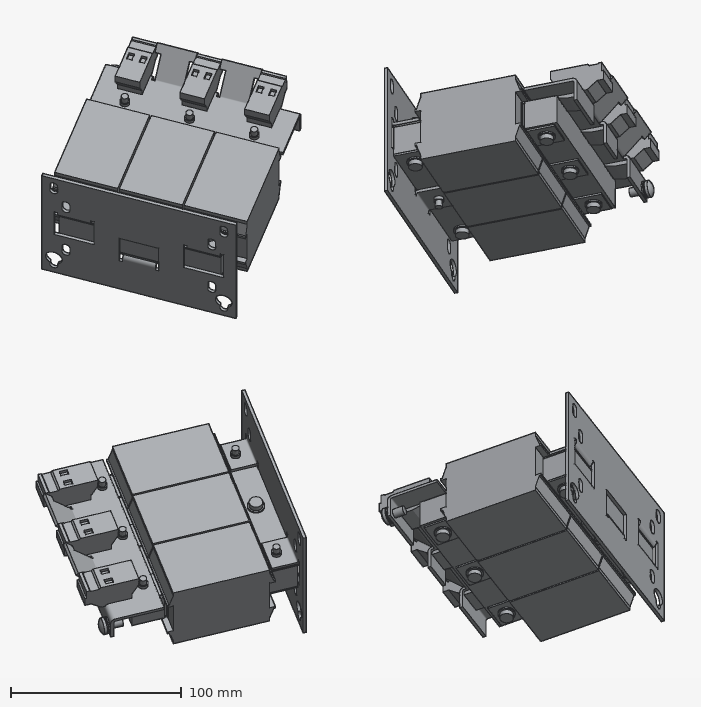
import cadquery as cq
import math


SHEET = 2.0
PLATE_WIDTH = 120.0
PLATE_HEIGHT = 85.0
SLOT_WIDTH = 4.8
SLOT_LENGTH = 9.5
MOUNT_X = 52.5
MOUNT_SLOT_Z = 33.8
KEYHOLE_Z = -29.6
KEYHOLE_DIAMETER = 10.2
KEYHOLE_TAIL_Z = -36.0
INNER_SLOT_X = 45.0
INNER_SLOT_Z = 19.4

PITCH = 40.0
COIL_XS = (-PITCH, 0.0, PITCH)
CORE_Z = -2.3
CORE_WIDTH = 100.0
CORE_HALF = 9.3
STACK_HALF = 10.5
LEG_WIDTH = 20.0
COIL_GAP = 1.0
COIL_WIDTH = PITCH - COIL_GAP
COIL_HALF = 22.8
COIL_FRONT = 22.4
COIL_REAR = 81.6
CORE_FRONT = SHEET + 0.2
CORE_REAR = 104.0
YOKE_FRONT = 83.9
STRIP_INSET = 0.2

FLARE_ROOT_HALF = 20.2
FLARE_TIP_HALF = 12.5
FLARE_INNER_HALF = 11.0
FLARE_REACH = 2.6
FLANGE_REACH = 3.6

SPACER_FRONT = 82.2
SPACER_INSET = 0.3
TONGUE_WIDTH = 17.1
TONGUE_REAR = 102.0

BEND_INNER = 1.0
BEND_OUTER = BEND_INNER + SHEET
TAB_WIDTH = 20.4
TAB_END = 18.0
WINDOW_WIDTH = 24.6
WINDOW_FAR = 5.8
WINDOW_NEAR = STACK_HALF + 4.2

FRONT_BOLT_Y = 12.1
REAR_BOLT_Y = 94.0
THREAD_DIAMETER = 4.2
THREAD_END = STACK_HALF + 8.2
NUT_DIAMETER = 5.8
NUT_HEIGHT = 2.1
HEAD_DIAMETER = 8.1
WASHER_DIAMETER = 10.2
WASHER_THICKNESS = 1.0
HEAD_END = STACK_HALF + 4.1

BRACKET_FRONT = 87.3
BRACKET_REAR = 120.2
BRACKET_BOTTOM = CORE_Z + STACK_HALF
BRACKET_TOP = BRACKET_BOTTOM + SHEET
BRACKET_LEG_END = -5.1
NOTCH_WIDTH = 21.6
NOTCH_FRONT = 116.0
WING_NECK_WIDTH = 17.6
WING_HEAD_WIDTH = 25.1
WING_HEAD_LENGTH = 6.0
WING_ROOT_LENGTH = 5.0
PART_REAR = 132.85

TERMINAL_WIDTH = 15.2
TERMINAL_FRONT = 99.0
TERMINAL_REAR = 132.2
TERMINAL_TOP = 26.2
TERMINAL_SHELF = TERMINAL_TOP - 1.1
TERMINAL_LIP = TERMINAL_TOP - 0.5
TERMINAL_SEAT = 8.7
FOOT_FRONT = 103.5
FOOT_BOTTOM = 5.5
POCKET_OFFSET = 3.9
POCKET_WIDTH = 3.3
POCKET_LENGTH = 4.8
POCKET_Y = 116.2
POCKET_DEPTH = 2.0

SCREW_X = (WASHER_DIAMETER - PLATE_WIDTH) / 2
SCREW_Z = 0.2
SCREW_SHANK_DIAMETER = 5.4
SCREW_SHANK_END = 111.6
SCREW_NECK_DIAMETER = 8.2
SCREW_WASHER_END = BRACKET_REAR + 0.8
SCREW_NECK_END = BRACKET_REAR + 1.7
SCREW_RIM_END = BRACKET_REAR + 3.7
SCREW_HEAD_END = BRACKET_REAR + 5.7


def box(x0, x1, y0, y1, z0, z1):
    return cq.Workplane("XY").box(x1 - x0, y1 - y0, z1 - z0, centered=False).translate((x0, y0, z0))


def wide_box(x, width, y0, y1, z0, z1):
    return box(x - width / 2, x + width / 2, y0, y1, z0, z1)


def side_prism(profile, x, width):
    """Extrude a closed (y, z) sketch along X, centred on x."""
    return profile.extrude(width / 2, both=True).translate((x, 0, 0))


def side_polygon(points, x, width):
    return side_prism(cq.Workplane("YZ").polyline(points).close(), x, width)


def upright_cylinder(x, y, diameter, z0, z1):
    return cq.Workplane("XY", origin=(x, y, z0)).circle(diameter / 2).extrude(z1 - z0)


def slot_cutter(x, z, length):
    return (
        cq.Workplane("XZ", origin=(x, 0, z))
        .slot2D(length, SLOT_WIDTH, 90)
        .extrude(-SHEET)
    )


def plate_tab(x):
    """Tab bent back from the plate above the core; built with the core centre at z = 0."""
    bend_z = STACK_HALF + BEND_OUTER
    diagonal = math.sqrt(0.5)
    outer_mid = BEND_OUTER * (1 - diagonal)
    inner_mid = BEND_OUTER - BEND_INNER * diagonal
    profile = (
        cq.Workplane("YZ")
        .moveTo(0, WINDOW_NEAR)
        .lineTo(0, bend_z)
        .threePointArc((outer_mid, STACK_HALF + outer_mid), (BEND_OUTER, STACK_HALF))
        .lineTo(TAB_END, STACK_HALF)
        .lineTo(TAB_END, STACK_HALF + SHEET)
        .lineTo(BEND_OUTER, STACK_HALF + SHEET)
        .threePointArc((inner_mid, STACK_HALF + inner_mid), (SHEET, bend_z))
        .lineTo(SHEET, WINDOW_NEAR)
        .close()
    )
    return side_prism(profile, x, TAB_WIDTH)


def place_on_core(shape, flipped):
    """Move a shape built around z = 0 to the core centre, upside down if flipped."""
    if flipped:
        shape = shape.mirror("XY")
    return shape.translate((0, 0, CORE_Z))


def mounting_plate():
    plate = wide_box(0, PLATE_WIDTH, 0, SHEET, -PLATE_HEIGHT / 2, PLATE_HEIGHT / 2)
    tail_length = KEYHOLE_Z - KEYHOLE_TAIL_Z + SLOT_WIDTH
    tail_centre = (KEYHOLE_Z + KEYHOLE_TAIL_Z) / 2
    for side in (-1, 1):
        plate = plate.cut(slot_cutter(side * MOUNT_X, MOUNT_SLOT_Z, SLOT_LENGTH))
        plate = plate.cut(slot_cutter(side * MOUNT_X, tail_centre, tail_length))
        keyhole = cq.Workplane("XZ", origin=(side * MOUNT_X, 0, KEYHOLE_Z))
        plate = plate.cut(keyhole.circle(KEYHOLE_DIAMETER / 2).extrude(-SHEET))
        for level in (-1, 1):
            plate = plate.cut(slot_cutter(side * INNER_SLOT_X, level * INNER_SLOT_Z, SLOT_LENGTH))
    for x in COIL_XS:
        flipped = x == 0
        window = wide_box(x, WINDOW_WIDTH, 0, SHEET, -WINDOW_FAR, WINDOW_NEAR)
        plate = plate.cut(place_on_core(window, flipped))
        plate = plate.union(place_on_core(plate_tab(x), flipped))
    return plate


def core():
    low, high = CORE_Z - CORE_HALF, CORE_Z + CORE_HALF
    body = wide_box(0, CORE_WIDTH, CORE_FRONT, COIL_FRONT, low, high)
    body = body.union(wide_box(0, CORE_WIDTH, YOKE_FRONT, CORE_REAR, low, high))
    spacer_width = 2 * PITCH + TONGUE_WIDTH
    spacer_low, spacer_high = low + SPACER_INSET, high - SPACER_INSET
    body = body.union(wide_box(0, spacer_width, SPACER_FRONT, YOKE_FRONT, spacer_low, spacer_high))
    for x in COIL_XS:
        body = body.union(wide_box(x, LEG_WIDTH, COIL_FRONT, SPACER_FRONT, low, high))
    return body


def insulation():
    """Strips above and below the front yoke and tongues above and below the rear yoke."""
    strip_width = CORE_WIDTH - 2 * STRIP_INSET
    upper = wide_box(0, strip_width, SHEET, COIL_FRONT, CORE_HALF, STACK_HALF)
    for x in COIL_XS:
        upper = upper.union(wide_box(x, TONGUE_WIDTH, COIL_REAR, TONGUE_REAR, CORE_HALF, STACK_HALF))
    return place_on_core(upper, False).union(place_on_core(upper, True))


def flange(x, end, outward, side):
    """One flared flange of the coil at x; outward is the Y direction, side the Z direction."""
    offsets = [
        (0, FLARE_ROOT_HALF),
        (FLARE_REACH, FLARE_TIP_HALF),
        (FLANGE_REACH, FLARE_TIP_HALF),
        (FLANGE_REACH, FLARE_INNER_HALF),
        (0, FLARE_INNER_HALF),
    ]
    points = [(end + outward * reach, CORE_Z + side * half) for reach, half in offsets]
    return side_polygon(points, x, COIL_WIDTH)


def coil(x):
    body = wide_box(x, COIL_WIDTH, COIL_FRONT, COIL_REAR, CORE_Z - COIL_HALF, CORE_Z + COIL_HALF)
    for side in (-1, 1):
        body = body.union(flange(x, COIL_FRONT, -1, side))
        body = body.union(flange(x, COIL_REAR, 1, side))
    return body


def bolt(x, y):
    """Bolt through the core, round nut on the upper sheet and head below; core centre at z = 0."""
    nut_base = STACK_HALF + SHEET
    washer_end = STACK_HALF + WASHER_THICKNESS
    body = upright_cylinder(x, y, THREAD_DIAMETER, -STACK_HALF, THREAD_END)
    body = body.union(upright_cylinder(x, y, NUT_DIAMETER, nut_base, nut_base + NUT_HEIGHT))
    body = body.union(upright_cylinder(x, y, WASHER_DIAMETER, -washer_end, -CORE_HALF))
    return body.union(upright_cylinder(x, y, HEAD_DIAMETER, -HEAD_END, -washer_end))


def bracket_wing(x):
    """T-shaped wing bent up 45 degrees from the bracket sheet, its root under the sheet's top face."""
    slant = math.sqrt(0.5)
    tip_y = PART_REAR - SHEET * slant
    tip_z = BRACKET_TOP + tip_y - NOTCH_FRONT
    root_y = NOTCH_FRONT - WING_ROOT_LENGTH
    lower_bend_y = NOTCH_FRONT + SHEET * math.tan(math.pi / 8)
    outline = [
        (root_y, BRACKET_TOP),
        (NOTCH_FRONT, BRACKET_TOP),
        (tip_y, tip_z),
        (PART_REAR, tip_z - SHEET * slant),
        (lower_bend_y, BRACKET_BOTTOM),
        (root_y, BRACKET_BOTTOM),
    ]
    head_start = tip_y - WING_HEAD_LENGTH * slant
    neck = side_polygon(outline, x, WING_NECK_WIDTH)
    upper_bend = cq.selectors.NearestToPointSelector((x, NOTCH_FRONT, BRACKET_TOP))
    neck = neck.edges(upper_bend).fillet(BEND_INNER)
    lower_bend = cq.selectors.NearestToPointSelector((x, lower_bend_y, BRACKET_BOTTOM))
    neck = neck.edges(lower_bend).fillet(BEND_OUTER)
    head_outline = [
        (head_start, tip_z - WING_HEAD_LENGTH * slant),
        (tip_y, tip_z),
        (PART_REAR, tip_z - SHEET * slant),
        (head_start + SHEET * slant, tip_z - (WING_HEAD_LENGTH + SHEET) * slant),
    ]
    return neck.union(side_polygon(head_outline, x, WING_HEAD_WIDTH))


def bracket():
    outline = [
        (BRACKET_FRONT, BRACKET_TOP),
        (BRACKET_REAR, BRACKET_TOP),
        (BRACKET_REAR, BRACKET_LEG_END),
        (BRACKET_REAR - SHEET, BRACKET_LEG_END),
        (BRACKET_REAR - SHEET, BRACKET_BOTTOM),
        (BRACKET_FRONT, BRACKET_BOTTOM),
    ]
    body = side_polygon(outline, 0, PLATE_WIDTH)
    outer_edge = cq.selectors.NearestToPointSelector((0, BRACKET_REAR, BRACKET_TOP))
    body = body.edges(outer_edge).fillet(BEND_OUTER)
    inner_edge = cq.selectors.NearestToPointSelector((0, BRACKET_REAR - SHEET, BRACKET_BOTTOM))
    body = body.edges(inner_edge).fillet(BEND_INNER)
    for x in (-PITCH / 2, PITCH / 2):
        body = body.cut(wide_box(x, NOTCH_WIDTH, NOTCH_FRONT, BRACKET_REAR, BRACKET_LEG_END, BRACKET_TOP))
        body = body.union(bracket_wing(x))
    return body


def terminal(x):
    leg_face = BRACKET_REAR - SHEET
    housing = [
        (103.2, BRACKET_BOTTOM),
        (103.2, 13.9),
        (TERMINAL_FRONT, 21.0),
        (TERMINAL_FRONT, TERMINAL_TOP),
        (122.3, TERMINAL_TOP),
        (123.4, TERMINAL_SHELF),
        (128.7, TERMINAL_SHELF),
        (129.2, TERMINAL_LIP),
        (131.1, TERMINAL_LIP),
        (131.1, 19.9),
        (TERMINAL_REAR, 19.9),
        (TERMINAL_REAR, 13.7),
        (128.3, 13.7),
        (122.1, TERMINAL_SEAT),
        (leg_face, TERMINAL_SEAT),
        (leg_face, BRACKET_BOTTOM),
    ]
    foot = [
        (FOOT_FRONT, BRACKET_BOTTOM),
        (leg_face, BRACKET_BOTTOM),
        (leg_face, FOOT_BOTTOM),
        (110.0, FOOT_BOTTOM),
        (FOOT_FRONT, CORE_Z + CORE_HALF),
    ]
    body = side_polygon(housing, x, TERMINAL_WIDTH).union(side_polygon(foot, x, TERMINAL_WIDTH))
    pocket_floor = TERMINAL_TOP - POCKET_DEPTH
    pocket_front, pocket_rear = POCKET_Y - POCKET_LENGTH / 2, POCKET_Y + POCKET_LENGTH / 2
    for side in (-1, 1):
        pocket_x = x + side * POCKET_OFFSET
        pocket = wide_box(pocket_x, POCKET_WIDTH, pocket_front, pocket_rear, pocket_floor, TERMINAL_TOP)
        body = body.cut(pocket)
    return body


def earth_screw():
    """Pan-head screw with washer, turned about a line parallel to Y."""
    shank = SCREW_SHANK_DIAMETER / 2
    neck = SCREW_NECK_DIAMETER / 2
    rim = WASHER_DIAMETER / 2
    dome_height = SCREW_HEAD_END - SCREW_RIM_END
    dome_radius = (rim**2 + dome_height**2) / (2 * dome_height)
    dome_mid = rim / 2
    dome_mid_y = SCREW_HEAD_END - dome_radius + math.sqrt(dome_radius**2 - dome_mid**2)
    profile = (
        cq.Workplane("XY")
        .moveTo(0, SCREW_SHANK_END)
        .lineTo(shank, SCREW_SHANK_END)
        .lineTo(shank, BRACKET_REAR)
        .lineTo(rim, BRACKET_REAR)
        .lineTo(rim, SCREW_WASHER_END)
        .lineTo(neck, SCREW_WASHER_END)
        .lineTo(neck, SCREW_NECK_END)
        .lineTo(rim, SCREW_NECK_END)
        .lineTo(rim, SCREW_RIM_END)
        .threePointArc((dome_mid, dome_mid_y), (0, SCREW_HEAD_END))
        .close()
    )
    return profile.revolve(360, (0, 0, 0), (0, 1, 0)).translate((SCREW_X, 0, SCREW_Z))


def choke():
    body = core().union(insulation()).union(mounting_plate()).union(bracket())
    for x in COIL_XS:
        body = body.union(coil(x))
        body = body.union(place_on_core(bolt(x, FRONT_BOLT_Y), x == 0))
        body = body.union(place_on_core(bolt(x, REAR_BOLT_Y), False))
        body = body.union(terminal(x))
    return body.union(earth_screw())


result = choke()